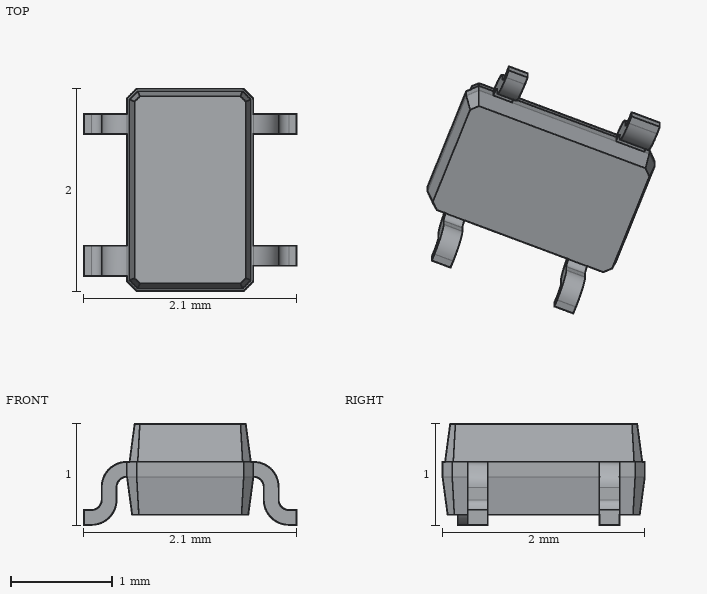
import cadquery as cq
import math

overall_width = 2.1
body_width = 1.25
body_length = 2.0
body_top = 1.0
body_bottom = 0.1
corner_chamfer = 0.097

lower_inset = 0.05
upper_base_inset = 0.025
upper_top_inset = 0.075

lead_thickness = 0.15
bend_inner_radius = 0.1
bend_outer_radius = bend_inner_radius + lead_thickness
lead_inner_side = 0.55
lead_width = 0.2
wide_lead_width = 0.3
lead_embed = 0.042

band_bottom = (body_bottom + body_top - lead_thickness) / 2
band_top = band_bottom + lead_thickness


def body_outline(z, inset):
    """Corner-cut rectangle at height z, moved inward evenly from the band outline."""
    corner = corner_chamfer - inset * (2 - math.sqrt(2))
    half_x = body_width / 2 - inset
    half_y = body_length / 2 - inset
    points = [
        (half_x, half_y - corner),
        (half_x - corner, half_y),
        (corner - half_x, half_y),
        (-half_x, half_y - corner),
        (-half_x, corner - half_y),
        (corner - half_x, -half_y),
        (half_x - corner, -half_y),
        (half_x, corner - half_y),
    ]
    return cq.Workplane("XY").workplane(offset=z).polyline(points).close()


def body_layer(z_start, inset_start, z_end, inset_end):
    """Straight or tapered slab of the body between two heights."""
    height = z_end - z_start
    taper = math.degrees(math.atan2(inset_end - inset_start, abs(height)))
    return body_outline(z_start, inset_start).extrude(height, taper=taper)


def make_body():
    lower = body_layer(band_bottom, 0, body_bottom, lower_inset)
    band = body_layer(band_bottom, 0, band_top, 0)
    upper = body_layer(band_top, upper_base_inset, body_top, upper_top_inset)
    return band.union(lower).union(upper)


def make_lead(y_start, width):
    """Gull-wing lead on the +X side, spanning y_start to y_start + width."""
    tip = overall_width / 2
    body_side = body_width / 2
    leg_inner = body_side + bend_inner_radius
    leg_outer = body_side + bend_outer_radius
    foot_start = leg_outer + bend_inner_radius
    knee_z = band_bottom - bend_inner_radius
    ankle_z = bend_outer_radius
    diagonal = math.sqrt(0.5)
    inner_mid = bend_inner_radius * diagonal
    outer_mid = bend_outer_radius * diagonal
    profile = (
        cq.Workplane("XZ", origin=(0, y_start, 0))
        .moveTo(body_side - lead_embed, band_top)
        .lineTo(body_side, band_top)
        .threePointArc((body_side + outer_mid, knee_z + outer_mid), (leg_outer, knee_z))
        .lineTo(leg_outer, ankle_z)
        .threePointArc((foot_start - inner_mid, ankle_z - inner_mid), (foot_start, lead_thickness))
        .lineTo(tip, lead_thickness)
        .lineTo(tip, 0)
        .lineTo(foot_start, 0)
        .threePointArc((foot_start - outer_mid, ankle_z - outer_mid), (leg_inner, ankle_z))
        .lineTo(leg_inner, knee_z)
        .threePointArc((body_side + inner_mid, knee_z + inner_mid), (body_side, band_bottom))
        .lineTo(body_side - lead_embed, band_bottom)
        .close()
    )
    return profile.extrude(-width)


back_lead = make_lead(lead_inner_side, lead_width)
front_lead = make_lead(-lead_inner_side - lead_width, lead_width)
wide_lead = make_lead(-lead_inner_side - wide_lead_width, wide_lead_width)
leads = [back_lead, front_lead, back_lead.mirror("YZ"), wide_lead.mirror("YZ")]

result = make_body()
for lead in leads:
    result = result.union(lead)